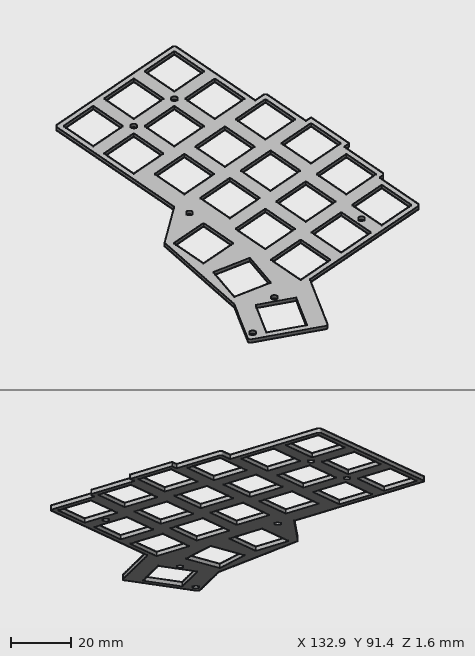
import cadquery as cq
import math

plate_length = 132.9
plate_width = 91.4
thickness = 1.6

key_pitch = 19.0
opening_size = 14.0
rim = 2.0
row_count = 3
stagger_unit = 2.4
column_stagger = [0, 0, 2, 3, 2, 1]

thumb_1_y = 22.6
thumb_2_x, thumb_2_y = 96.3, 19.8
thumb_2_tilt = -15
thumb_3_tilt = -30
thumb_half_height = 13.7

slope_top_x = 56.0
slope_foot_x, slope_foot_y = 66.2, 13.5
thumb_start_x = 103.9

corner_radius = 0.9
hole_diameter = 2.3
lower_hole_x, lower_hole_y = 61.7, 29.8
tip_hole_along, tip_hole_across = 6.0, -11.4

half_cell = opening_size / 2 + rim
column_x = [half_cell + index * key_pitch for index in range(len(column_stagger))]
block_height = (row_count - 1) * key_pitch + 2 * half_cell
column_top = [plate_width - (max(column_stagger) - step) * stagger_unit for step in column_stagger]
block_bottom = column_top[0] - block_height
block_right = column_x[-1] + half_cell

tilt = math.radians(-thumb_3_tilt)
corner_loss = corner_radius * (math.cos(tilt) + math.sin(tilt) - 1)
thumb_reach_x = half_cell * math.cos(tilt) + thumb_half_height * math.sin(tilt) - corner_loss
thumb_reach_y = half_cell * math.sin(tilt) + thumb_half_height * math.cos(tilt) - corner_loss
thumb_3_x = plate_length - thumb_reach_x
thumb_3_y = thumb_reach_y
thumb_1_x = (column_x[3] + column_x[4]) / 2


def thumb_point(along, across):
    """Plate position of a point given in the frame of the last thumb key."""
    x = thumb_3_x + along * math.cos(tilt) + across * math.sin(tilt)
    y = thumb_3_y - along * math.sin(tilt) + across * math.cos(tilt)
    return x, y


def thumb_edge_y(x, across):
    """Height at x of the tilted thumb block edge lying at the given offset."""
    edge_x, edge_y = thumb_point(0, across)
    return edge_y - (x - edge_x) * math.tan(tilt)


def make_plate():
    step_left = column_x[2] - half_cell
    middle_left = column_x[3] - half_cell
    middle_right = column_x[3] + half_cell
    step_right = column_x[4] + half_cell
    rounded = [
        (0, block_bottom),
        (0, column_top[0]),
        (step_left, column_top[2]),
        (step_right, column_top[4]),
        (block_right, column_top[5]),
        thumb_point(half_cell, thumb_half_height),
        thumb_point(half_cell, -thumb_half_height),
    ]
    outline = [
        rounded[0],
        rounded[1],
        (step_left, column_top[1]),
        rounded[2],
        (middle_left, column_top[2]),
        (middle_left, column_top[3]),
        (middle_right, column_top[3]),
        (middle_right, column_top[4]),
        rounded[3],
        (step_right, column_top[5]),
        rounded[4],
        (block_right, thumb_edge_y(block_right, thumb_half_height)),
        rounded[5],
        rounded[6],
        (thumb_start_x, thumb_edge_y(thumb_start_x, -thumb_half_height)),
        (slope_foot_x, slope_foot_y),
        (slope_top_x, block_bottom),
    ]
    plate = cq.Workplane("XY").polyline(outline).close().extrude(thickness)
    for x, y in rounded:
        corner = cq.selectors.NearestToPointSelector((x, y, thickness / 2))
        plate = plate.edges("|Z").edges(corner).fillet(corner_radius)
    return plate


def key_opening(x, y, angle=0):
    cutter = cq.Workplane("XY").rect(opening_size, opening_size).extrude(thickness)
    return cutter.rotate((0, 0, 0), (0, 0, 1), angle).translate((x, y, 0))


def cut_keys(plate):
    for x, top in zip(column_x, column_top):
        for row in range(row_count):
            plate = plate.cut(key_opening(x, top - half_cell - row * key_pitch))
    plate = plate.cut(key_opening(thumb_1_x, thumb_1_y))
    plate = plate.cut(key_opening(thumb_2_x, thumb_2_y, thumb_2_tilt))
    return plate.cut(key_opening(thumb_3_x, thumb_3_y, thumb_3_tilt))


def cut_screw_holes(plate):
    left_x = (column_x[0] + column_x[1]) / 2
    first_gap = half_cell + key_pitch / 2
    centers = [
        (left_x, column_top[0] - first_gap),
        (left_x, column_top[0] - first_gap - key_pitch),
        (column_x[5], column_top[5] - first_gap),
        (lower_hole_x, lower_hole_y),
        thumb_point(-half_cell, 0),
        thumb_point(tip_hole_along, tip_hole_across),
    ]
    holes = cq.Workplane("XY").pushPoints(centers).circle(hole_diameter / 2).extrude(thickness)
    return plate.cut(holes)


result = cut_screw_holes(cut_keys(make_plate()))